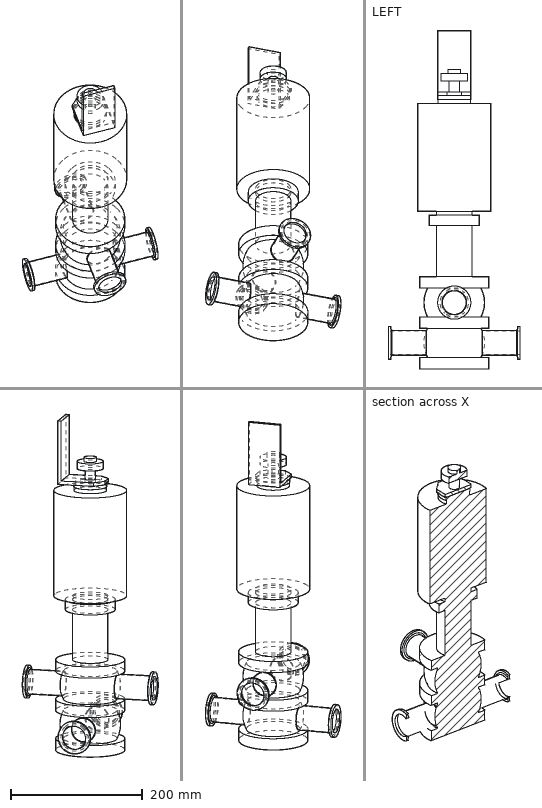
import cadquery as cq

flange_d = 105.0
base_flange_h = 18.0
flange_h = 17.5
ball_d = 92.5
ball_gap = 43.5

port_span = 200.0
pipe_d = 38.0
bore_d = 36.0
ferrule_d = 50.5
ferrule_shoulder_d = 43.0
ferrule_rim_t = 4.0
ferrule_taper_t = 1.5

column_d = 54.0
collar_d = 76.0
collar_h = 16.0
collar_base_z = 217.5
actuator_d = 111.0
actuator_base_z = 239.0
actuator_top_z = 402.5

boss_d = 50.0
boss_h = 6.0
washer_d = 50.5
washer_h = 5.5
stem_d = 16.0
knob_base_z = 436.5
knob_d = 40.0
knob_h = 11.5
tip_d = 19.5
tip_h = 6.0

overall_h = 513.0
bracket_w = 50.5
bracket_t = 5.5
bracket_min_x = -25.5
bracket_max_x = 44.5
bracket_corner = 14.5

lower_ball_z = base_flange_h + ball_gap / 2
middle_flange_z = base_flange_h + ball_gap
upper_ball_z = middle_flange_z + flange_h + ball_gap / 2
top_flange_z = upper_ball_z + ball_gap / 2
column_base_z = top_flange_z + flange_h
washer_base_z = actuator_top_z + boss_h
bracket_base_z = washer_base_z + washer_h
knob_top_z = knob_base_z + knob_h


def disc(diameter, bottom, top):
    """Cylinder about the Z axis between two levels."""
    return cq.Workplane("XY").workplane(offset=bottom).circle(diameter / 2).extrude(top - bottom)


def ball(center_z):
    """Ball with its top and bottom cut flat by the adjoining flanges."""
    sphere = cq.Workplane("XY").sphere(ball_d / 2).translate((0, 0, center_z))
    return sphere.intersect(disc(ball_d, center_z - ball_gap / 2, center_z + ball_gap / 2))


def straight_pipe():
    """Tube along Z, centred on the origin, with a ferrule and tapered shoulder at each end."""
    end = port_span / 2
    rim = end - ferrule_rim_t
    neck = rim - ferrule_taper_t
    profile = [
        (bore_d / 2, -end),
        (ferrule_d / 2, -end),
        (ferrule_d / 2, -rim),
        (ferrule_shoulder_d / 2, -rim),
        (pipe_d / 2, -neck),
        (pipe_d / 2, neck),
        (ferrule_shoulder_d / 2, rim),
        (ferrule_d / 2, rim),
        (ferrule_d / 2, end),
        (bore_d / 2, end),
    ]
    return cq.Workplane("XZ").polyline(profile).close().revolve(360, (0, 0, 0), (0, 1, 0))


def ported_ball(center_z, pipe_axis):
    """Solid ball closing the middle of a straight pipe laid along pipe_axis."""
    turn_axis = {"X": (0, 1, 0), "Y": (1, 0, 0)}[pipe_axis]
    pipe = straight_pipe().rotate((0, 0, 0), turn_axis, 90).translate((0, 0, center_z))
    return ball(center_z).union(pipe)


def make_valve():
    """Housing, actuator and stem as one solid, with the parts listed from bottom to top."""
    valve = disc(flange_d, 0, base_flange_h)
    valve = valve.union(ported_ball(lower_ball_z, "Y"))
    valve = valve.union(disc(flange_d, middle_flange_z, middle_flange_z + flange_h))
    valve = valve.union(ported_ball(upper_ball_z, "X"))
    stack = [
        (flange_d, top_flange_z, column_base_z),
        (column_d, column_base_z, actuator_base_z),
        (collar_d, collar_base_z, collar_base_z + collar_h),
        (actuator_d, actuator_base_z, actuator_top_z),
        (boss_d, actuator_top_z, washer_base_z),
        (washer_d, washer_base_z, bracket_base_z),
        (stem_d, bracket_base_z, knob_base_z),
        (knob_d, knob_base_z, knob_top_z),
        (tip_d, knob_top_z, knob_top_z + tip_h),
    ]
    for diameter, bottom, top in stack:
        valve = valve.union(disc(diameter, bottom, top))
    return valve


def make_bracket():
    """L-shaped plate with two clipped corners and a hole that fits the stem."""
    foot_top_z = bracket_base_z + bracket_t
    upright_min_x = bracket_max_x - bracket_t
    side = [
        (bracket_min_x, bracket_base_z),
        (bracket_max_x, bracket_base_z),
        (bracket_max_x, overall_h),
        (upright_min_x, overall_h),
        (upright_min_x, foot_top_z),
        (bracket_min_x, foot_top_z),
    ]
    plate = cq.Workplane("XZ").polyline(side).close().extrude(bracket_w / 2, both=True)
    plate = plate.faces("<X").edges("|Z").chamfer(bracket_corner)
    return plate.cut(disc(stem_d, bracket_base_z, foot_top_z))


valve = make_valve()
bracket = make_bracket()

result = cq.Compound.makeCompound([valve.solids().val(), bracket.solids().val()])